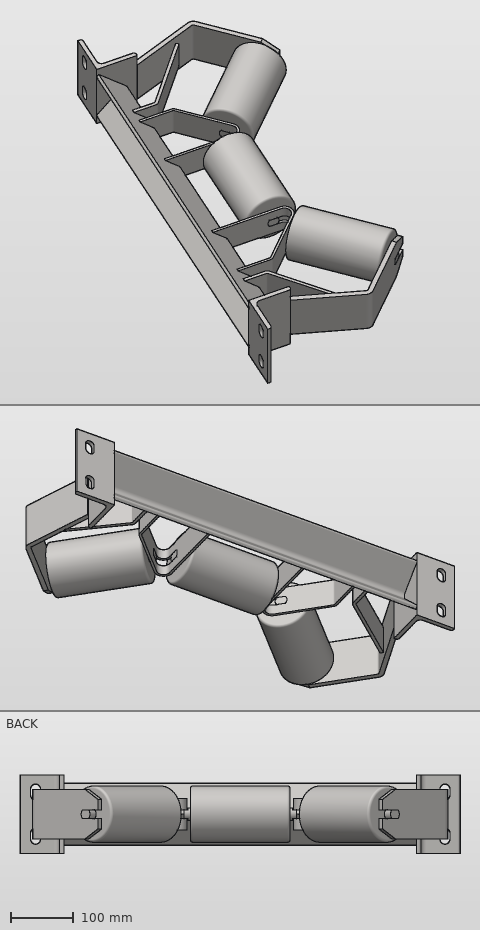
import cadquery as cq
import math

overall_length = 700.0

foot_leg = 70.0
foot_depth = 71.5
foot_thickness = 8.0
foot_height = 125.0
foot_root_radius = 8.5
foot_toe_radius = 4.0
slot_width = 15.5
slot_length = 25.0
slot_spacing = 70.0
slot_from_foot_end = 24.5

beam_leg = 70.0
beam_thickness = 7.0
beam_root_radius = 9.0
beam_toe_radius = 3.5
beam_turn = 135

roller_diameter = 89.5
roller_length = 159.0
roller_edge_radius = 4.0
axle_diameter = 19.5
axle_flats = 14.0
axle_shoulder_gap = 2.0
plate_gap = 5.5
trough_angle = 45.0
middle_roller_y = 135.0
side_roller_x = 180.0
side_roller_y = 211.5

saddle_thickness = 4.0
saddle_height = 50.5
saddle_outer_leg_x = 183.0
saddle_top_bend = 11.0
saddle_lower_bend = 4.0

arm_thickness = 8.5
arm_height = 79.0
arm_lean = 19.5
arm_bend = 4.0
arm_tip_past_axle = 28.0
arm_tip_chamfer_length = 29.5
arm_tip_chamfer_height = 16.0

strut_thickness = 5.5
strut_height = 50.5
strut_leg_x = 201.5
strut_bend_y = 70.0
strut_slope = 40.0
strut_bend = 2.0

foot_inner_x = overall_length / 2 - foot_leg
beam_corner_y = math.sqrt(0.5) * (beam_leg + beam_thickness - 2 * beam_toe_radius) + beam_toe_radius
plate_offset = roller_length / 2 + plate_gap
trough = math.radians(trough_angle)
side_axis = (math.cos(trough), -math.sin(trough))
tip_direction = (math.sin(trough), math.cos(trough))
lean = math.radians(arm_lean)
lean_direction = (-math.sin(lean), math.cos(lean))
lean_normal = (math.cos(lean), math.sin(lean))


def moved(point, direction, distance):
    """Point in the XY plane shifted by a distance along a unit direction."""
    return (point[0] + distance * direction[0], point[1] + distance * direction[1])


def crossing(point, direction, other, other_direction):
    """Point where a line meets another line in the XY plane."""
    across = (other[0] - point[0]) * other_direction[1] - (other[1] - point[1]) * other_direction[0]
    turn = direction[0] * other_direction[1] - direction[1] * other_direction[0]
    return moved(point, direction, across / turn)


def unit(start, end):
    """Unit direction from one XY point to another."""
    length = math.dist(start, end)
    return ((end[0] - start[0]) / length, (end[1] - start[1]) / length)


def offset_corners(points, distance):
    """Corners of an open polyline shifted to its right by a distance, with mitred bends."""
    directions = [unit(a, b) for a, b in zip(points, points[1:])]
    shifted = []
    for index, point in enumerate(points):
        before = directions[max(index - 1, 0)]
        after = directions[min(index, len(directions) - 1)]
        miter = 1 + before[0] * after[0] + before[1] * after[1]
        shifted.append((point[0] + distance * (before[1] + after[1]) / miter,
                        point[1] - distance * (before[0] + after[0]) / miter))
    return shifted


def bent_plate(outer, thickness, height, bends):
    """Plate following an outer polyline, its metal on the right; each bend is an inside radius."""
    inner = offset_corners(outer, thickness)
    plate = cq.Workplane("XY").polyline(outer + inner[::-1]).close().extrude(height / 2, both=True)
    for index, bend in enumerate(bends, start=1):
        one, other = outer[index], inner[index]
        to_previous = unit(one, outer[index - 1])
        to_next = unit(one, outer[index + 1])
        towards_inside = ((other[0] - one[0]) * (to_previous[0] + to_next[0])
                          + (other[1] - one[1]) * (to_previous[1] + to_next[1])) > 0
        inside, outside = (other, one) if towards_inside else (one, other)
        for corner, radius in ((inside, bend), (outside, bend + thickness)):
            edge = cq.selectors.NearestToPointSelector((corner[0], corner[1], 0))
            plate = plate.edges("|Z").edges(edge).fillet(radius)
    return plate


def mirrored(solid):
    return solid.mirror("YZ")


def axle_end(length):
    """Axle tip along +X from the origin: a round bar with two flats facing +Z and -Z."""
    bar = cq.Workplane("YZ").circle(axle_diameter / 2).extrude(length)
    return bar.intersect(cq.Workplane("XY").box(3 * length, 2 * axle_diameter, axle_flats))


def axle_slot(centre, direction, depth, opening):
    """Cutter for a slot holding an axle tip, open along a direction in the XY plane."""
    along = math.degrees(math.atan2(direction[1], direction[0]))
    seat = axle_end(depth).translate((-depth / 2, 0, 0))
    mouth = cq.Workplane("XY").box(depth, opening, axle_flats).translate((0, opening / 2, 0))
    return seat.union(mouth).rotate((0, 0, 0), (0, 0, 1), along - 90).translate((*centre, 0))


def beam_angle():
    section = (
        cq.Workplane("YZ")
        .polyline([(0, 0), (beam_leg, 0), (beam_leg, beam_thickness),
                   (beam_thickness, beam_thickness), (beam_thickness, beam_leg), (0, beam_leg)])
        .close().extrude(foot_inner_x, both=True)
    )
    for corner, radius in (((0, beam_thickness, beam_thickness), beam_root_radius),
                           ((0, beam_leg, beam_thickness), beam_toe_radius),
                           ((0, beam_thickness, beam_leg), beam_toe_radius)):
        section = section.edges("|X").edges(cq.selectors.NearestToPointSelector(corner)).fillet(radius)
    return section.rotate((0, 0, 0), (1, 0, 0), beam_turn).translate((0, beam_corner_y, 0))


def beam_notch():
    """Wedge filling the angle, which notches the plates that straddle it."""
    return (
        cq.Workplane("YZ")
        .polyline([(beam_corner_y, 0), (0, beam_corner_y), (0, -beam_corner_y)])
        .close().extrude(foot_inner_x, both=True)
    )


def saddle():
    foot_y = beam_corner_y - saddle_height / 2
    leg_x = -plate_offset
    seat = moved((-side_roller_x, side_roller_y), side_axis, plate_offset)
    slope = math.tan(trough)
    outer = [
        (-saddle_outer_leg_x, foot_y),
        (-saddle_outer_leg_x, seat[1] + (-saddle_outer_leg_x - seat[0]) * slope),
        (leg_x, seat[1] + (leg_x - seat[0]) * slope),
        (leg_x, foot_y),
    ]
    plate = bent_plate(outer, saddle_thickness, saddle_height, [saddle_lower_bend, saddle_top_bend])
    depth = 2 * (saddle_top_bend + saddle_thickness)
    opening = saddle_height
    plate = plate.cut(axle_slot(seat, tip_direction, depth, opening))
    plate = plate.cut(axle_slot((leg_x, middle_roller_y), (0, 1), depth, opening))
    return plate.cut(beam_notch())


def arm_base():
    """Outer corner of the arm's lower end, which rests tangent on the rounded toe of the foot."""
    toe_centre = (-foot_inner_x - foot_thickness + foot_toe_radius, foot_depth - foot_toe_radius)
    contact = moved(toe_centre, lean_direction, foot_toe_radius)
    return moved(contact, lean_normal, -arm_thickness / 2)


def arm():
    """Left arm: leans outwards from the foot, then follows the outer end of the side roller."""
    base = arm_base()
    axle_at_face = moved((-side_roller_x, side_roller_y), side_axis, -plate_offset - arm_thickness)
    tip = moved(axle_at_face, tip_direction, arm_tip_past_axle)
    bend = crossing(base, lean_direction, tip, tip_direction)
    plate = bent_plate([base, bend, tip], arm_thickness, arm_height, [arm_bend])
    plate = plate.cut(axle_slot(axle_at_face, tip_direction, 3 * arm_thickness, 2 * arm_tip_past_axle))
    corner = (
        cq.Workplane("XZ")
        .polyline([(0, arm_height / 2), (-arm_tip_chamfer_length, arm_height / 2),
                   (0, arm_height / 2 - arm_tip_chamfer_height)])
        .close().extrude(2 * arm_thickness, both=True)
        .rotate((0, 0, 0), (0, 0, 1), 90 - trough_angle)
        .translate((*tip, 0))
    )
    return plate.cut(corner).cut(corner.mirror("XY"))


def foot():
    end_x = -overall_length / 2
    leg_x = -foot_inner_x - foot_thickness
    section = (
        cq.Workplane("XY")
        .polyline([(end_x, 0), (-foot_inner_x, 0), (-foot_inner_x, foot_depth), (leg_x, foot_depth),
                   (leg_x, foot_thickness), (end_x, foot_thickness)])
        .close().extrude(foot_height / 2, both=True)
    )
    for corner, radius in (((leg_x, foot_thickness, 0), foot_root_radius),
                           ((leg_x, foot_depth, 0), foot_toe_radius),
                           ((end_x, foot_thickness, 0), foot_toe_radius)):
        section = section.edges("|Z").edges(cq.selectors.NearestToPointSelector(corner)).fillet(radius)
    slots = (
        cq.Workplane("XZ")
        .pushPoints([(end_x + slot_from_foot_end, side * slot_spacing / 2) for side in (-1, 1)])
        .slot2D(slot_length, slot_width, 90)
        .extrude(2 * foot_thickness, both=True)
    )
    return section.cut(slots)


def strut():
    slope = math.radians(strut_slope)
    along = (-math.cos(slope), math.sin(slope))
    across = (math.sin(slope), math.cos(slope))
    bend = (-strut_leg_x, strut_bend_y)
    underside = moved(bend, across, -strut_thickness)
    inner_face = moved(arm_base(), lean_normal, arm_thickness)
    end = moved(crossing(underside, along, inner_face, lean_direction), across, strut_thickness)
    foot = (-strut_leg_x, beam_corner_y - strut_height / 2)
    plate = bent_plate([end, bend, foot], strut_thickness, strut_height, [strut_bend])
    return plate.cut(beam_notch())


def welded_frame():
    """Crossbeam with the feet at its ends and the saddles and struts welded along it."""
    frame = beam_angle()
    for part in (foot(), saddle(), strut()):
        frame = frame.union(part).union(mirrored(part))
    return frame


def roller():
    end = cq.Workplane("YZ", origin=(-roller_length / 2, 0, 0))
    shell = end.circle(roller_diameter / 2).extrude(roller_length)
    shell = shell.faces("<X or >X").edges().fillet(roller_edge_radius)
    return shell.cut(end.circle(axle_diameter / 2).extrude(roller_length))


def axle(left_plate, right_plate):
    """Axle whose flatted tips end flush with plates of the given thicknesses."""
    round_end = plate_offset - axle_shoulder_gap
    bar = cq.Workplane("YZ").circle(axle_diameter / 2).extrude(round_end, both=True)
    bar = bar.union(axle_end(plate_offset + right_plate))
    return bar.union(mirrored(axle_end(plate_offset + left_plate)))


frame_body = welded_frame()
left_arm = arm()
arms = [left_arm, mirrored(left_arm)]

stations = [
    (-side_roller_x, side_roller_y, -trough_angle, arm_thickness, saddle_thickness),
    (0, middle_roller_y, 0, saddle_thickness, saddle_thickness),
    (side_roller_x, side_roller_y, trough_angle, saddle_thickness, arm_thickness),
]
rollers = []
axles = []
for x, y, tilt, left_plate, right_plate in stations:
    for bodies, body in ((rollers, roller()), (axles, axle(left_plate, right_plate))):
        bodies.append(body.rotate((0, 0, 0), (0, 0, 1), tilt).translate((x, y, 0)))

result = cq.Compound.makeCompound(
    [body.val() for body in [frame_body, *arms, *rollers, *axles]]
)